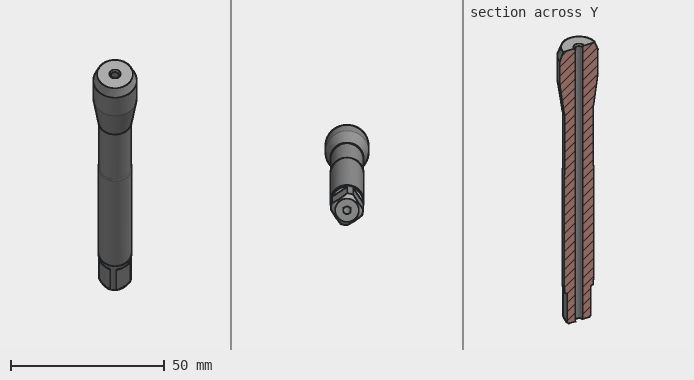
import cadquery as cq

length = 110.0
end_chamfer_height = 1.5
flat_top_z = 12.2
flat_runout_height = 0.5
collar_top_z = 14.4
lower_shank_z = 14.6
lower_shank_top_z = 60.2
upper_shank_z = 60.8
upper_shank_top_z = 84.6
head_cone_z = 84.9
head_cone_top_z = 97.0
head_chamfer_z = length - 3.4

end_face_diameter = 7.7
collar_diameter = 10.6
lower_shank_diameter = 11.0
upper_shank_diameter = 10.7
head_diameter = 14.2
head_face_diameter = 11.7
bore_diameter = 2.5
countersink_diameter = 3.6

square_width = 8.8


def make_body():
    """Revolve the stepped outline of shank and head about Z."""
    stations = [
        (end_face_diameter, 0),
        (collar_diameter, end_chamfer_height),
        (collar_diameter, collar_top_z),
        (lower_shank_diameter, lower_shank_z),
        (lower_shank_diameter, lower_shank_top_z),
        (upper_shank_diameter, upper_shank_z),
        (upper_shank_diameter, upper_shank_top_z),
        (lower_shank_diameter, head_cone_z),
        (head_diameter, head_cone_top_z),
        (head_diameter, head_chamfer_z),
        (head_face_diameter, length),
    ]
    outline = [(diameter / 2, z) for diameter, z in stations]
    profile = cq.Workplane("XZ").polyline([(0, 0)] + outline + [(0, length)]).close()
    return profile.revolve(360, (0, 0, 0), (0, 1, 0))


def make_flat_cutter():
    """Cutter for the +X flat, with a sloping shoulder at its upper end."""
    inner = square_width / 2
    rim = collar_diameter / 2
    outer = head_diameter / 2
    runout_top_z = flat_top_z + flat_runout_height
    section = [
        (inner, 0),
        (inner, flat_top_z),
        (rim, runout_top_z),
        (outer, runout_top_z),
        (outer, 0),
    ]
    return cq.Workplane("XZ").polyline(section).close().extrude(head_diameter / 2, both=True)


def make_bore():
    """Through bore with a 45 degree countersink in the head face."""
    countersink_depth = (countersink_diameter - bore_diameter) / 2
    bore = cq.Workplane("XY").circle(bore_diameter / 2).extrude(length)
    countersink = (
        cq.Workplane("XY", origin=(0, 0, length - countersink_depth))
        .circle(bore_diameter / 2)
        .workplane(offset=countersink_depth)
        .circle(countersink_diameter / 2)
        .loft()
    )
    return bore.union(countersink)


result = make_body()
flat_cutter = make_flat_cutter()
for angle in (0, 90, 180, 270):
    result = result.cut(flat_cutter.rotate((0, 0, 0), (0, 0, 1), angle))
result = result.cut(make_bore())